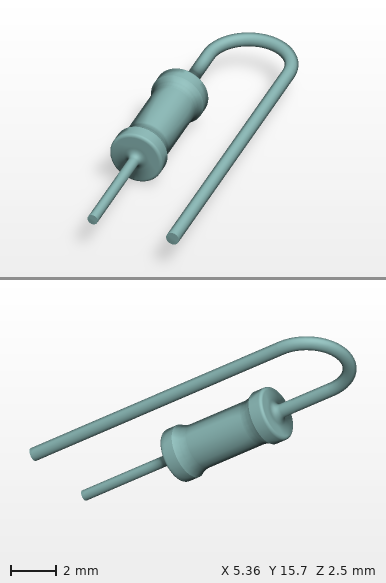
import cadquery as cq
import math

total_length = 15.72
body_diameter = 2.5
waist_diameter = 2.09
body_length = 5.55
body_start = 5.0
cap_length = 0.68
flare_length = 0.61
edge_round = 0.14

short_lead_diameter = 0.49
bent_lead_diameter = 0.61
lead_spacing = 3.8
lead_fillet = 0.3

body_end = body_start + body_length
bend_radius = lead_spacing / 2
bend_start = total_length - bend_radius - bent_lead_diameter / 2


def body():
    """Dumbbell body revolved about the Y axis."""
    cap_radius = body_diameter / 2
    waist_radius = waist_diameter / 2
    drop = cap_radius - waist_radius

    flare_radius = (flare_length**2 + drop**2) / (2 * drop)
    half_angle = math.asin(flare_length / flare_radius) / 2
    mid_run = flare_radius * math.sin(half_angle)
    mid_radius = waist_radius + flare_radius * (1 - math.cos(half_angle))

    lower_band = body_start + cap_length
    upper_band = body_end - cap_length
    lower_waist = lower_band + flare_length
    upper_waist = upper_band - flare_length

    profile = (
        cq.Workplane("XY")
        .moveTo(0, body_start)
        .lineTo(cap_radius, body_start)
        .lineTo(cap_radius, lower_band)
        .threePointArc((mid_radius, lower_waist - mid_run), (waist_radius, lower_waist))
        .lineTo(waist_radius, upper_waist)
        .threePointArc((mid_radius, upper_waist + mid_run), (cap_radius, upper_band))
        .lineTo(cap_radius, body_end)
        .lineTo(0, body_end)
        .close()
    )
    solid = profile.revolve(360, (0, 0, 0), (0, 1, 0))
    return solid.faces("<Y or >Y").edges().fillet(edge_round)


def lead_collar(lead_diameter, face_y, outward):
    """Concave collar around a lead; outward is the Y sign pointing off the body."""
    lead_radius = lead_diameter / 2
    foot_radius = lead_radius + lead_fillet
    tip_y = face_y + outward * lead_fillet
    arc_inset = lead_fillet * (1 - math.sqrt(0.5))
    return (
        cq.Workplane("XY")
        .moveTo(0, face_y)
        .lineTo(foot_radius, face_y)
        .threePointArc((lead_radius + arc_inset, face_y + outward * arc_inset), (lead_radius, tip_y))
        .lineTo(0, tip_y)
        .close()
        .revolve(360, (0, 0, 0), (0, 1, 0))
    )


def short_lead():
    """Straight lead from Y = 0 to the middle of the body."""
    length = body_start + body_length / 2
    return cq.Workplane("XZ").circle(short_lead_diameter / 2).extrude(-length)


def bent_lead():
    """Lead leaving the far face, turning back through a half circle to Y = 0."""
    middle = body_start + body_length / 2
    path = (
        cq.Workplane("XY")
        .moveTo(0, middle)
        .lineTo(0, bend_start)
        .threePointArc((bend_radius, bend_start + bend_radius), (lead_spacing, bend_start))
        .lineTo(lead_spacing, 0)
    )
    section = cq.Workplane("XZ", origin=(0, middle, 0)).circle(bent_lead_diameter / 2)
    return section.sweep(path)


result = (
    body()
    .union(short_lead())
    .union(bent_lead())
    .union(lead_collar(short_lead_diameter, body_start, -1))
    .union(lead_collar(bent_lead_diameter, body_end, 1))
)